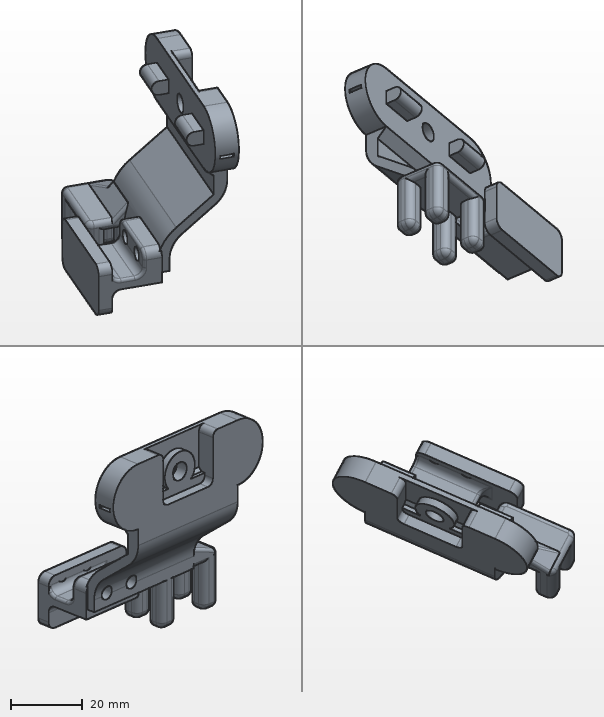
import cadquery as cq


PART_HEIGHT = 66.0
PART_DEPTH = 38.0

PLATE_LENGTH = 60.0
PLATE_HEIGHT = 20.0
PLATE_THICK = 7.0
PLATE_HOLE_DIA = 5.5

PIN_INNER_X = 10.0
PIN_LENGTH = 9.95
PIN_HEIGHT = 4.4
PIN_REACH = 5.0

POCKET_WIDTH = 20.0
POCKET_DEPTH = 5.5
POCKET_DROP = 16.5
POCKET_CORNER = 2.0
POCKET_CHAMFER = 1.05
LEDGE_DEPTH = 3.2
LEDGE_HEIGHT = 2.65
BOSS_DIA = 12.0

SLOT_DEPTH = 3.95
SLOT_BACK_GAP = 1.45
SLOT_WIDTH = 4.0
SLOT_HEIGHT = 1.0
SLOT_DROP = 10.95

STRAP_WIDTH = 40.0
STRAP_THICK = 4.0
STRAP_STEP = 16.95
STRAP_FALL = 13.2
STRAP_BACK_BEND_DROP = 29.45
STRAP_FRONT_BEND_DROP = 28.9
STRAP_BEND_RADIUS = 9.25
STRAP_FRONT_RADIUS = 15.4

CLIP_WIDTH = 23.05
CLIP_DEPTH = 15.1
CLIP_TOP_DROP = 47.9
CLIP_SLAB = 3.1
CLIP_TOP_FILLET = 1.65
CLIP_UNDER_FILLET = 1.4
LEG_WIDTH = 6.15
LEG_DEPTH = 5.6
LEG_FILLET = 2.1

WEB_FRONT = 19.8
WEB_TOP_DROP = 43.5
WEB_SIDE_DROP = 44.9
WEB_SIDE_RUN = 8.6
WEB_FILLET = 1.0

BRACKET_LEFT = -0.3
BRACKET_RIGHT = 20.6
BRACKET_TOP_DROP = 43.0
BRACKET_BOTTOM_DROP = 53.9
BRACKET_BACK = 19.4
BRACKET_FRONT = 24.95
BRACKET_CORNER = 2.8
BRACKET_EDGE = 0.9
ARM_TOP_DROP = 50.75
ARM_FILLET = 2.5
BRACKET_HOLE_DIA = 4.0
BRACKET_HOLE_DROP = 46.7
BRACKET_HOLES_X = (5.1, 15.0)
PAD_WIDTH = 31.3
PAD_THICK = 4.0
PAD_TOP_DROP = 45.9
PAD_HEIGHT = 16.1
PAD_CORNER = 2.65

plate_mid_z = -PLATE_HEIGHT / 2
strap_back_y = -STRAP_STEP
strap_front_y = -STRAP_STEP - STRAP_THICK
slab_bottom_z = -CLIP_TOP_DROP - CLIP_SLAB
clip_left = -PLATE_LENGTH / 2
clip_right = clip_left + CLIP_WIDTH
clip_front_y = strap_back_y - CLIP_DEPTH
pad_back_y = PAD_THICK - PART_DEPTH


def box(x_range, y_range, z_range):
    """Axis-aligned box between pairs of limits, each given low to high."""
    limits = (x_range, y_range, z_range)
    sizes = [high - low for low, high in limits]
    corner = tuple(low for low, high in limits)
    return cq.Workplane("XY").box(*sizes, centered=False).translate(corner)


def cylinder_y(dia, x, z, y_start, y_end):
    """Cylinder along Y, from y_start forward to y_end."""
    plane = cq.Workplane("XZ", origin=(x, y_start, z))
    return plane.circle(dia / 2).extrude(y_start - y_end)


def extrude_side_profile(points, x_start, x_end):
    """Extrude a (y, z) outline along X."""
    plane = cq.Workplane("YZ", origin=(x_start, 0, 0))
    return plane.polyline(points).close().extrude(x_end - x_start)


def fillet_at(body, point, radius):
    """Round the edge along X whose middle is nearest to the point."""
    edge = body.edges("|X").edges(cq.selectors.NearestToPointSelector(point))
    return edge.fillet(radius)


def make_plate():
    plane = cq.Workplane("XZ", origin=(0, 0, plate_mid_z))
    return plane.slot2D(PLATE_LENGTH, PLATE_HEIGHT).extrude(PLATE_THICK)


def make_pin(x_left):
    """Bar along X with a half-round front."""
    x_range = (x_left, x_left + PIN_LENGTH)
    round_y = -PLATE_THICK - PIN_REACH + PIN_HEIGHT / 2
    half = PIN_HEIGHT / 2
    bar = box(x_range, (round_y, -PLATE_THICK), (plate_mid_z - half, plate_mid_z + half))
    plane = cq.Workplane("YZ", origin=(x_left, round_y, plate_mid_z))
    return bar.union(plane.circle(half).extrude(PIN_LENGTH))


def make_pocket():
    """Stepped pocket with a flared mouth, leaving a boss around the hole."""
    half = POCKET_WIDTH / 2
    mouth = half + POCKET_CORNER
    shallow = (
        cq.Workplane("XZ")
        .moveTo(-mouth, 0)
        .radiusArc((-half, -POCKET_CORNER), POCKET_CORNER)
        .lineTo(-half, POCKET_CORNER - POCKET_DROP)
        .radiusArc((POCKET_CORNER - half, -POCKET_DROP), -POCKET_CORNER)
        .lineTo(half - POCKET_CORNER, -POCKET_DROP)
        .radiusArc((half, POCKET_CORNER - POCKET_DROP), -POCKET_CORNER)
        .lineTo(half, -POCKET_CORNER)
        .radiusArc((mouth, 0), POCKET_CORNER)
        .close()
        .extrude(POCKET_DEPTH)
    )
    ledge_z = LEDGE_HEIGHT - POCKET_DROP
    ledge = extrude_side_profile(
        [
            (-LEDGE_DEPTH, -POCKET_DROP),
            (-LEDGE_DEPTH, ledge_z),
            (POCKET_CHAMFER - POCKET_DEPTH, ledge_z),
            (-POCKET_DEPTH, ledge_z + POCKET_CHAMFER),
            (-POCKET_DEPTH, -POCKET_DROP),
        ],
        -half,
        half,
    )
    boss = cylinder_y(BOSS_DIA, 0, plate_mid_z, -LEDGE_DEPTH, -POCKET_DEPTH)
    return shallow.cut(ledge).cut(boss)


def make_end_slots():
    """Flat blind slots in both ends of the plate."""
    y_range = (-SLOT_BACK_GAP - SLOT_WIDTH, -SLOT_BACK_GAP)
    z_range = (-SLOT_DROP - SLOT_HEIGHT, -SLOT_DROP)
    left = box((-PLATE_LENGTH / 2, SLOT_DEPTH - PLATE_LENGTH / 2), y_range, z_range)
    return left.union(left.mirror("YZ"))


def make_strap():
    """Strap that steps forward below the plate, with rounded bends."""
    back_bend = (0, -STRAP_BACK_BEND_DROP)
    back_lower_bend = (strap_back_y, -STRAP_BACK_BEND_DROP - STRAP_FALL)
    front_lower_bend = (strap_front_y, -STRAP_FRONT_BEND_DROP - STRAP_FALL)
    chamfer = PLATE_THICK - STRAP_THICK
    outline = [
        (0, -PLATE_HEIGHT),
        back_bend,
        back_lower_bend,
        (strap_back_y, slab_bottom_z),
        (strap_front_y, slab_bottom_z),
        front_lower_bend,
        (-STRAP_THICK, -STRAP_FRONT_BEND_DROP),
        (-STRAP_THICK, -PLATE_HEIGHT - chamfer),
        (-PLATE_THICK, -PLATE_HEIGHT),
    ]
    strap = extrude_side_profile(outline, -STRAP_WIDTH / 2, STRAP_WIDTH / 2)
    strap = fillet_at(strap, (0, *back_bend), STRAP_BEND_RADIUS)
    strap = fillet_at(strap, (0, *back_lower_bend), STRAP_BEND_RADIUS)
    return fillet_at(strap, (0, *front_lower_bend), STRAP_FRONT_RADIUS)


def make_clip():
    """Rounded slab standing on four rounded legs."""
    slab_z = (slab_bottom_z, -CLIP_TOP_DROP)
    clip = box((clip_left, clip_right), (clip_front_y, strap_back_y), slab_z)
    clip = clip.edges("|Z").fillet(LEG_FILLET)
    clip = clip.faces(">Z").edges().fillet(CLIP_TOP_FILLET)
    clip = clip.faces("<Z").edges().fillet(CLIP_UNDER_FILLET)

    leg_top = -CLIP_TOP_DROP - CLIP_TOP_FILLET
    for x in (clip_left, clip_right - LEG_WIDTH):
        for y in (clip_front_y, strap_back_y - LEG_DEPTH):
            leg = box((x, x + LEG_WIDTH), (y, y + LEG_DEPTH), (-PART_HEIGHT, leg_top))
            leg = leg.edges("|Z").fillet(LEG_FILLET)
            leg = leg.faces("<Z").edges().fillet(LEG_FILLET)
            clip = clip.union(leg)
    return clip


def make_web():
    """Wedge on the clip: 45 degree front, shallow slope down to the left."""
    base_z = -CLIP_TOP_DROP - CLIP_TOP_FILLET
    front_run = -WEB_TOP_DROP - base_z
    side = extrude_side_profile(
        [
            (strap_back_y, base_z),
            (strap_back_y, -WEB_TOP_DROP),
            (-WEB_FRONT, -WEB_TOP_DROP),
            (-WEB_FRONT - front_run, base_z),
        ],
        clip_left,
        clip_right,
    )
    side = side.faces(">X").edges("<Y").fillet(WEB_FILLET)
    strap_left = -STRAP_WIDTH / 2
    slope_end = strap_left - WEB_SIDE_RUN
    front = (
        cq.Workplane("XZ")
        .moveTo(slope_end, base_z)
        .lineTo(slope_end, -CLIP_TOP_DROP)
        .lineTo(strap_left, -WEB_SIDE_DROP)
        .lineTo(strap_left, -WEB_TOP_DROP)
        .lineTo(clip_right, -WEB_TOP_DROP)
        .lineTo(clip_right, base_z)
        .close()
        .extrude(PART_DEPTH)
    )
    web = side.intersect(front)
    slope_middle_x = (slope_end + strap_left) / 2
    slope_middle_z = -(CLIP_TOP_DROP + WEB_SIDE_DROP) / 2
    crease_y = slope_middle_z + WEB_TOP_DROP - WEB_FRONT
    for y in (crease_y, strap_back_y):
        point = (slope_middle_x, y, slope_middle_z)
        web = web.edges(cq.selectors.NearestToPointSelector(point)).fillet(WEB_FILLET)
    return web


def make_bracket():
    """Block on the strap with an arm that flares into a rounded pad."""
    bottom = -BRACKET_BOTTOM_DROP
    plane = cq.Workplane("YZ", origin=(BRACKET_LEFT, 0, 0))
    body = (
        plane.moveTo(-BRACKET_BACK, bottom)
        .lineTo(-BRACKET_BACK, -BRACKET_TOP_DROP)
        .lineTo(-BRACKET_FRONT, -BRACKET_TOP_DROP)
        .lineTo(-BRACKET_FRONT, ARM_FILLET - ARM_TOP_DROP)
        .radiusArc((-BRACKET_FRONT - ARM_FILLET, -ARM_TOP_DROP), ARM_FILLET)
        .lineTo(pad_back_y, -ARM_TOP_DROP)
        .lineTo(pad_back_y, bottom)
        .close()
        .extrude(BRACKET_RIGHT - BRACKET_LEFT)
    )
    body = body.edges("|Y and >Z").fillet(BRACKET_CORNER)
    pad_left = BRACKET_RIGHT - PAD_WIDTH
    pad_bottom = -PAD_TOP_DROP - PAD_HEIGHT
    long_pad_right = BRACKET_RIGHT + PAD_CORNER
    pad_y = (-PART_DEPTH, pad_back_y)
    pad = box((pad_left, long_pad_right), pad_y, (pad_bottom, -PAD_TOP_DROP))
    pad = pad.edges("|Y and <X").fillet(PAD_CORNER)
    bracket = body.union(pad)
    margin = 0.05
    junction = cq.selectors.BoxSelector(
        (BRACKET_LEFT - margin, pad_back_y - margin, bottom - margin),
        (BRACKET_RIGHT - margin, pad_back_y + margin, margin - ARM_TOP_DROP),
    )
    bracket = bracket.edges(junction).fillet(ARM_FILLET)

    top_front = (0, -BRACKET_FRONT, -BRACKET_TOP_DROP)
    bottom_left = (BRACKET_LEFT, -BRACKET_FRONT, bottom)
    for point in (top_front, bottom_left):
        edge = bracket.edges(cq.selectors.NearestToPointSelector(point))
        bracket = edge.fillet(BRACKET_EDGE)

    bracket = bracket.cut(box((BRACKET_RIGHT, long_pad_right), pad_y, (pad_bottom, -PAD_TOP_DROP)))
    pad_right_edges = cq.selectors.BoxSelector(
        (BRACKET_RIGHT - margin, -PART_DEPTH, pad_bottom - margin),
        (BRACKET_RIGHT + margin, pad_back_y, margin - PAD_TOP_DROP),
    )
    return bracket.edges("|Y").edges(pad_right_edges).fillet(PAD_CORNER)


def make_bracket_holes():
    holes = cq.Workplane("XY")
    for x in BRACKET_HOLES_X:
        holes = holes.union(cylinder_y(BRACKET_HOLE_DIA, x, -BRACKET_HOLE_DROP, 0, pad_back_y))
    return holes


result = make_plate().union(make_strap())
result = result.cut(make_pocket()).cut(make_end_slots())
for pin_x in (PIN_INNER_X, -PIN_INNER_X - PIN_LENGTH):
    result = result.union(make_pin(pin_x))
result = result.cut(cylinder_y(PLATE_HOLE_DIA, 0, plate_mid_z, 0, -PLATE_THICK))
result = result.union(make_clip()).union(make_web()).union(make_bracket())
result = result.cut(make_bracket_holes())